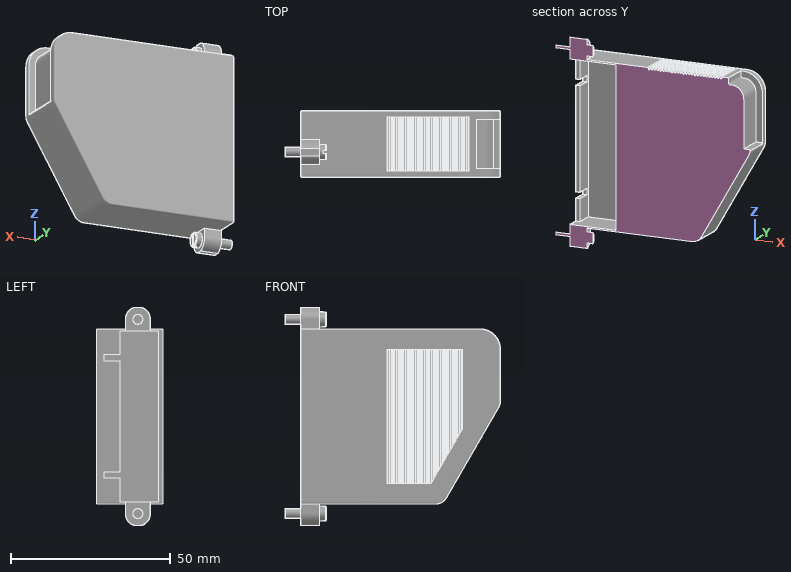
import cadquery as cq
import math

BODY_LENGTH = 62.8
BODY_WIDTH = 21.0
BODY_HEIGHT = 55.1
EDGE_RADIUS = 0.5
TOP_CORNER_RADIUS = 6.5
SLOPE_CORNER_RADIUS = 4.0
SLOPE_ANGLE = 60.0
SLOPE_FOOT_X = 44.7

CHAMBER_DEPTH = 16.0
CHAMBER_HEIGHT = 53.8
CHAMBER_SIDE_WALL = 1.4

LIP_THICKNESS = 1.5
LIP_EDGE_Y = 3.0
NOTCH_DEPTH = 5.1
NOTCH_HEIGHT = 2.0
NOTCH_OFFSET_Z = 18.4

LUG_LENGTH = 6.0
LUG_RADIUS = 3.95
LUG_TOP_Z = 34.27
SCREW_Y = -2.55
SCREW_Z = 30.5
SHANK_DIAMETER = 3.1
SHANK_PROJECTION = 4.9
HEAD_DIAMETER = 4.8
HEAD_HEIGHT = 2.1
HEAD_CHAMFER = 0.25
DRIVE_SLOT_WIDTH = 1.0
DRIVE_SLOT_DEPTH = 1.0

GROOVE_PITCH = 1.0
GROOVE_WIDTH = 0.75
GROOVE_DEPTH = 0.75
GRIP_START_X = 27.15
SIDE_GROOVE_COUNT = 24
TOP_GROOVE_COUNT = 26
SIDE_GRIP_MARGIN = 6.5
TOP_GRIP_MARGIN = 2.0

RECESS_WIDTH = 15.4
RECESS_DEPTH = 2.2
RECESS_START_X = 55.3
RECESS_ROOT_RADIUS = 0.5
RECESS_BOTTOM_Z = 5.0
RECESS_LIP_RADIUS = 0.55

HALF_WIDTH = BODY_WIDTH / 2
HALF_HEIGHT = BODY_HEIGHT / 2
SLOPE_TANGENT = math.tan(math.radians(SLOPE_ANGLE))
SLOPE_TOP_Z = -HALF_HEIGHT + (BODY_LENGTH - SLOPE_FOOT_X) * SLOPE_TANGENT


def box(x_range, y_range, z_range):
    """Axis-aligned box between two limits on each axis."""
    size = [high - low for low, high in (x_range, y_range, z_range)]
    corner = (x_range[0], y_range[0], z_range[0])
    return cq.Workplane("XY").box(*size, centered=False).translate(corner)


def prism_along_y(outline, width):
    """Extrude an XZ outline symmetrically about Y = 0."""
    return outline.extrude(width / 2, both=True)


def make_body():
    """Block with a sloping rear face and rounded edges."""
    outline = (
        cq.Workplane("XZ")
        .moveTo(0, -HALF_HEIGHT)
        .lineTo(SLOPE_FOOT_X, -HALF_HEIGHT)
        .lineTo(BODY_LENGTH, SLOPE_TOP_Z)
        .lineTo(BODY_LENGTH, HALF_HEIGHT)
        .lineTo(0, HALF_HEIGHT)
        .close()
    )
    block = prism_along_y(outline, BODY_WIDTH)
    block = block.edges("|Y and >X and >Z").fillet(TOP_CORNER_RADIUS)
    slope_corners = cq.selectors.BoxSelector(
        (SLOPE_FOOT_X - 1, -HALF_WIDTH, -HALF_HEIGHT - 1),
        (BODY_LENGTH + 1, HALF_WIDTH, SLOPE_TOP_Z + 1),
    )
    block = block.edges("|Y").edges(slope_corners).fillet(SLOPE_CORNER_RADIUS)
    return block.faces("<X or <Y or >Y").edges().fillet(EDGE_RADIUS)


def make_chamber():
    """Cavity volume, leaving the notched lip on the +Y side of the opening."""
    inner_y = HALF_WIDTH - CHAMBER_SIDE_WALL
    half_height = CHAMBER_HEIGHT / 2
    chamber = box((0, CHAMBER_DEPTH), (-inner_y, inner_y), (-half_height, half_height))
    lip = box((0, LIP_THICKNESS), (LIP_EDGE_Y, inner_y), (-half_height, half_height))
    for notch_z in (-NOTCH_OFFSET_Z, NOTCH_OFFSET_Z):
        notch = box(
            (0, LIP_THICKNESS),
            (LIP_EDGE_Y, LIP_EDGE_Y + NOTCH_DEPTH),
            (notch_z - NOTCH_HEIGHT / 2, notch_z + NOTCH_HEIGHT / 2),
        )
        lip = lip.cut(notch)
    return chamber.cut(lip)


def make_corner_recess():
    """Recess following the upper rear corner at a constant depth."""
    floor_z = HALF_HEIGHT - RECESS_DEPTH
    floor_x = BODY_LENGTH - RECESS_DEPTH
    floor_radius = TOP_CORNER_RADIUS - RECESS_DEPTH
    root = RECESS_ROOT_RADIUS
    lip = RECESS_LIP_RADIUS
    outline = (
        cq.Workplane("XZ")
        .moveTo(RECESS_START_X, HALF_HEIGHT)
        .lineTo(RECESS_START_X, floor_z + root)
        .radiusArc((RECESS_START_X + root, floor_z), -root)
        .lineTo(floor_x - floor_radius, floor_z)
        .radiusArc((floor_x, floor_z - floor_radius), floor_radius)
        .lineTo(floor_x, RECESS_BOTTOM_Z)
        .lineTo(BODY_LENGTH - lip, RECESS_BOTTOM_Z)
        .radiusArc((BODY_LENGTH, RECESS_BOTTOM_Z - lip), lip)
        .lineTo(BODY_LENGTH, HALF_HEIGHT)
        .close()
    )
    return prism_along_y(outline, RECESS_WIDTH)


def make_grooves(count, surface, direction):
    """Row of V-grooves in the XY plane, cut inwards from an outer face at Y = surface."""
    half_groove = GROOVE_WIDTH / 2
    root = surface - direction * GROOVE_DEPTH
    grooves = cq.Workplane("XY")
    for index in range(count):
        start = GRIP_START_X + index * GROOVE_PITCH
        grooves = grooves.moveTo(start, surface)
        grooves = grooves.lineTo(start + half_groove, root)
        grooves = grooves.lineTo(start + GROOVE_WIDTH, surface).close()
    return grooves


def make_side_grip():
    """Vertical grooves on the -Y face, ending parallel to the housing outline."""
    half_height = HALF_HEIGHT - SIDE_GRIP_MARGIN
    grooves = make_grooves(SIDE_GROOVE_COUNT, -HALF_WIDTH, -1).extrude(half_height, both=True)
    slope_shift = SIDE_GRIP_MARGIN / math.sin(math.radians(SLOPE_ANGLE))
    foot_x = SLOPE_FOOT_X - slope_shift
    slope_side = (
        cq.Workplane("XZ")
        .moveTo(foot_x, -HALF_HEIGHT)
        .lineTo(foot_x + BODY_HEIGHT / SLOPE_TANGENT, HALF_HEIGHT)
        .lineTo(foot_x + BODY_HEIGHT, HALF_HEIGHT)
        .lineTo(foot_x + BODY_HEIGHT, -HALF_HEIGHT)
        .close()
    )
    return grooves.cut(prism_along_y(slope_side, BODY_WIDTH))


def make_top_grip():
    """Grooves running along Y on the top face."""
    half_length = HALF_WIDTH - TOP_GRIP_MARGIN
    grooves = make_grooves(TOP_GROOVE_COUNT, HALF_HEIGHT, 1).extrude(half_length, both=True)
    return grooves.rotate((0, 0, 0), (1, 0, 0), 90)


def cylinder_along_x(diameter, start_x, length):
    """Cylinder on the upper screw axis."""
    return (
        cq.Workplane("YZ", origin=(start_x, SCREW_Y, SCREW_Z))
        .circle(diameter / 2)
        .extrude(length)
    )


def make_lug_with_screw():
    """Upper lug, rounded with a flat crown, carrying a slotted screw."""
    lug_y = (SCREW_Y - LUG_RADIUS, SCREW_Y + LUG_RADIUS)
    stem = box((0, LUG_LENGTH), lug_y, (CHAMBER_HEIGHT / 2, SCREW_Z))
    crown = cylinder_along_x(2 * LUG_RADIUS, 0, LUG_LENGTH)
    lug = stem.union(crown.intersect(box((0, LUG_LENGTH), lug_y, (CHAMBER_HEIGHT / 2, LUG_TOP_Z))))

    shank = cylinder_along_x(SHANK_DIAMETER, -SHANK_PROJECTION, SHANK_PROJECTION + LUG_LENGTH)
    head_end = LUG_LENGTH + HEAD_HEIGHT
    head = cylinder_along_x(HEAD_DIAMETER, LUG_LENGTH, HEAD_HEIGHT)
    head = head.faces(">X").edges().chamfer(HEAD_CHAMFER)
    drive_slot = box(
        (head_end - DRIVE_SLOT_DEPTH, head_end),
        (SCREW_Y - DRIVE_SLOT_WIDTH / 2, SCREW_Y + DRIVE_SLOT_WIDTH / 2),
        (SCREW_Z - HEAD_DIAMETER / 2, SCREW_Z + HEAD_DIAMETER / 2),
    )
    return lug.union(shank).union(head.cut(drive_slot))


body = make_body()
body = body.cut(make_corner_recess())
body = body.cut(make_side_grip())
body = body.cut(make_top_grip())
body = body.cut(make_chamber())

upper_lug = make_lug_with_screw()
result = body.union(upper_lug).union(upper_lug.mirror("XY"))